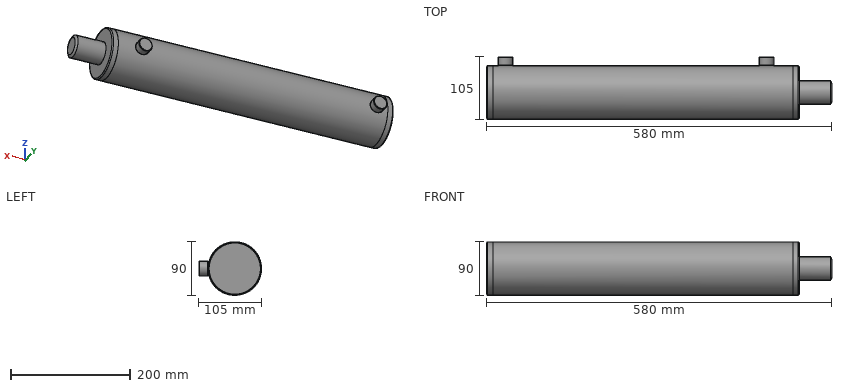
import cadquery as cq

BODY_DIAMETER = 90.0
BODY_LENGTH = 525.0
COVER_LENGTH = 11.0
COVER_CHAMFER = 2.0

OVERALL_LENGTH = 580.0
ROD_DIAMETER = 40.0
ROD_CHAMFER_LENGTH = 3.0
ROD_CHAMFER_DEPTH = 5.0

PORT_DIAMETER = 25.0
PORT_HEIGHT = 15.0
PORT_CHAMFER = 1.0
PORT_CENTERS_X = (32.0, 470.0)

BODY_RADIUS = BODY_DIAMETER / 2
BARREL_LENGTH = BODY_LENGTH - 2 * COVER_LENGTH
FRONT_COVER_START = BODY_LENGTH - COVER_LENGTH
ROD_LENGTH = OVERALL_LENGTH - BODY_LENGTH


def cylinder_along_x(start, length, diameter):
    """A round bar on the X axis, from `start` toward +X."""
    return cq.Workplane("YZ", origin=(start, 0, 0)).circle(diameter / 2).extrude(length)


def make_barrel():
    return cylinder_along_x(COVER_LENGTH, BARREL_LENGTH, BODY_DIAMETER)


def make_end_cover():
    cover = cylinder_along_x(0, COVER_LENGTH, BODY_DIAMETER)
    return cover.faces("<X").chamfer(COVER_CHAMFER)


def make_front_cover():
    cover = cylinder_along_x(FRONT_COVER_START, COVER_LENGTH, BODY_DIAMETER)
    return cover.faces(">X").chamfer(COVER_CHAMFER)


def make_rod():
    rod_radius = ROD_DIAMETER / 2
    profile = (
        cq.Workplane("XY", origin=(BODY_LENGTH, 0, 0))
        .lineTo(0, rod_radius)
        .lineTo(ROD_LENGTH - ROD_CHAMFER_LENGTH, rod_radius)
        .lineTo(ROD_LENGTH, rod_radius - ROD_CHAMFER_DEPTH)
        .lineTo(ROD_LENGTH, 0)
        .close()
    )
    return profile.revolve(360, (0, 0, 0), (1, 0, 0))


def make_port(center_x):
    """A round boss, chamfered at both ends, that rests on the crown of the barrel."""
    return (
        cq.Workplane("XZ", origin=(center_x, BODY_RADIUS, 0))
        .circle(PORT_DIAMETER / 2)
        .extrude(-PORT_HEIGHT)
        .faces("<Y or >Y")
        .chamfer(PORT_CHAMFER)
    )


barrel = make_barrel()
end_cover = make_end_cover()
front_cover = make_front_cover()
rod = make_rod()
ports = [make_port(center_x) for center_x in PORT_CENTERS_X]

result = cq.Compound.makeCompound(
    [barrel.val(), end_cover.val(), front_cover.val(), rod.val(), *[port.val() for port in ports]]
)